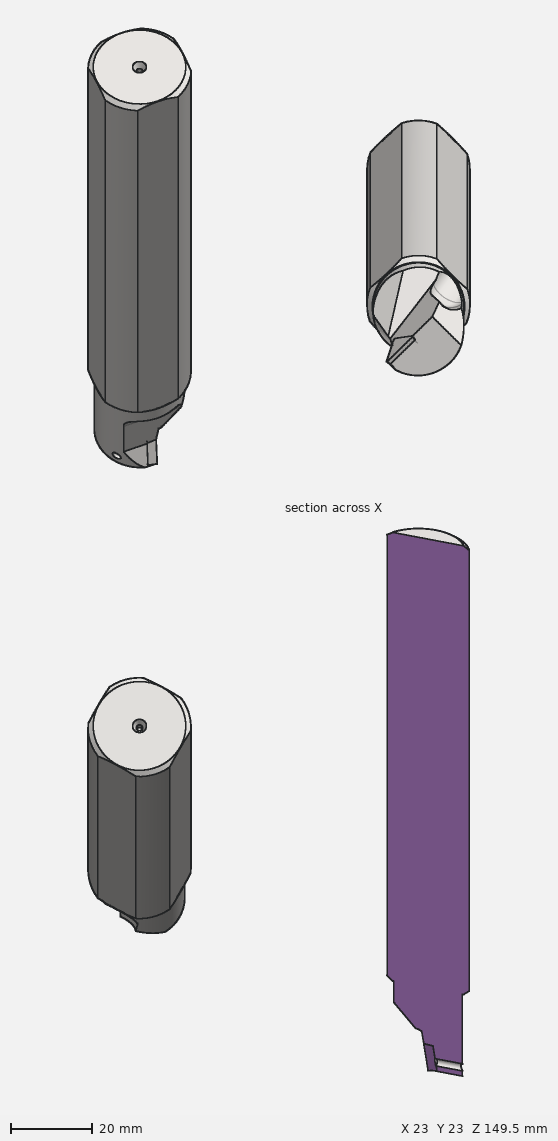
import cadquery as cq
import math

total_length = 149.45
neck_length = 23.6
shank_diameter = 25.4
across_flats = 23.0
end_face_radius = 11.4
top_chamfer_height = 1.0
bottom_chamfer_height = 1.3

centre_mouth_diameter = 3.4
centre_pilot_diameter = 1.5
centre_cone_angle = 60.0
centre_hole_depth = 4.0

head_radius = 11.2
tip_x = 11.2
bottom_angle = 4.5
insert_overhang = 0.25
end_slope_top_z = 8.6
end_slope_x = -10.1
end_slope_angle = 54.0

relief_x = 8.1
relief_top_z = 19.4
relief_radius = 3.0

rake_angle = 9.0
front_runout = (8.0, 0.0, 1.06)
side_runout = (13.6, -0.47, 0.3)

gullet_radius = 5.1
gullet_centre = cq.Vector(-10.9, 0, 14.7)
gullet_entry_angle = 48.0
gullet_exit_angle = 14.5

insert_incircle = 5.56
insert_thickness = 2.38
insert_nose_radius = 0.4
insert_clearance = 7.0
insert_corner_angle = 60.0
screw_hole_diameter = 1.9

reach = 60.0
outer = head_radius + 1.0

lead_angle = bottom_angle + insert_corner_angle
tip_bisector_angle = bottom_angle + insert_corner_angle / 2

rake_sin = math.sin(math.radians(rake_angle))
rake_cos = math.cos(math.radians(rake_angle))
half_corner_sin = math.sin(math.radians(tip_bisector_angle))
sharp_corner_z = -(2 * half_corner_sin - 1) * insert_nose_radius * rake_cos
rake_plane = cq.Plane(
    origin=(tip_x, 0, sharp_corner_z), xDir=(1, 0, 0), normal=(0, -rake_cos, rake_sin)
)
insert_circumradius = insert_incircle
insert_side = insert_incircle * math.sqrt(3)


def polar(length, degrees):
    """Offset of the given length at an angle from the first axis."""
    angle = math.radians(degrees)
    return length * math.cos(angle), length * math.sin(angle)


def make_shank():
    shank_radius = shank_diameter / 2
    profile = [
        (0, neck_length),
        (end_face_radius, neck_length),
        (shank_radius, neck_length + bottom_chamfer_height),
        (shank_radius, total_length - top_chamfer_height),
        (end_face_radius, total_length),
        (0, total_length),
    ]
    bar = cq.Workplane("XZ").polyline(profile).close().revolve(360, (0, 0), (0, 1))
    square = cq.Workplane("XY").rect(across_flats, across_flats).extrude(total_length)
    return bar.intersect(square).faces(">Z").workplane().cskHole(
        centre_pilot_diameter, centre_mouth_diameter, centre_cone_angle, centre_hole_depth
    )


def make_head_outline():
    """Head silhouette in XZ, extruded through the full width along Y."""
    bottom_slope = math.tan(math.radians(bottom_angle))
    end_slope = math.tan(math.radians(end_slope_angle))
    lead_slope = math.tan(math.radians(lead_angle))
    edge_x = tip_x - 2 * insert_overhang * math.cos(math.radians(tip_bisector_angle))
    edge_z = 2 * insert_overhang * math.sin(math.radians(tip_bisector_angle))
    line_z = end_slope_top_z - edge_z - bottom_slope * (edge_x - end_slope_x)
    corner_x = end_slope_x + line_z / (end_slope - bottom_slope)
    corner_z = edge_z + bottom_slope * (edge_x - corner_x)
    left_z = end_slope_top_z + end_slope * (end_slope_x + outer)
    arc_x = relief_x + relief_radius
    arc_z = relief_top_z - relief_radius
    mid_x, mid_z = polar(relief_radius, 135)
    return (
        cq.Workplane("XZ")
        .moveTo(-outer, left_z)
        .lineTo(corner_x, corner_z)
        .lineTo(edge_x, edge_z)
        .lineTo(relief_x, edge_z + lead_slope * (edge_x - relief_x))
        .lineTo(relief_x, arc_z)
        .threePointArc((arc_x + mid_x, arc_z + mid_z), (arc_x, relief_top_z))
        .lineTo(outer, relief_top_z)
        .lineTo(outer, neck_length)
        .lineTo(-outer, neck_length)
        .close()
        .extrude(outer, both=True)
    )


def make_chip_space():
    """Everything in front of the rake plane and under either run-out plane."""
    before_rake = cq.Workplane(rake_plane).rect(reach, reach).extrude(-reach)
    chip_space = cq.Workplane("XY")
    for height, rise_x, rise_y in [front_runout, side_runout]:
        runout_plane = cq.Plane(
            origin=(0, 0, height), xDir=(1, 0, rise_x), normal=(rise_x, rise_y, -1)
        )
        under_runout = cq.Workplane(runout_plane).rect(reach, reach).extrude(reach)
        chip_space = chip_space.add(before_rake.intersect(under_runout))
    return chip_space.combine()


def make_gullet():
    """Path of a ball cutter: in from the -X side, then down and slightly out."""
    entry_x, entry_z = polar(1, 180 - gullet_entry_angle)
    exit_x, exit_z = polar(1, 270 - gullet_exit_angle)
    gullet = cq.Workplane("XY").sphere(gullet_radius).translate(gullet_centre)
    for direction in [(entry_x, 0, entry_z), (exit_x, 0, exit_z)]:
        start = cq.Plane(origin=gullet_centre.toTuple(), xDir=(0, 1, 0), normal=direction)
        gullet = gullet.union(cq.Workplane(start).circle(gullet_radius).extrude(reach / 2))
    return gullet


def make_insert():
    corners = [
        (0, 0),
        polar(insert_side, 180 - bottom_angle),
        polar(insert_side, 180 - lead_angle),
    ]
    outline = cq.Sketch().polygon(corners + corners[:1]).vertices().fillet(insert_nose_radius)
    return cq.Workplane(rake_plane).placeSketch(outline).extrude(
        insert_thickness, taper=insert_clearance
    )


def make_screw_hole():
    """Runs from the insert centre straight back to the -Y side."""
    offset_x, offset_z = polar(insert_circumradius, 180 - tip_bisector_angle)
    return (
        cq.Workplane("XZ").center(tip_x + offset_x, offset_z)
        .circle(screw_hole_diameter / 2).extrude(reach)
    )


insert = make_insert()
head = cq.Workplane("XY").circle(head_radius).extrude(neck_length).intersect(make_head_outline())
head = head.cut(make_chip_space()).cut(make_gullet())
holder = make_shank().union(head).cut(make_screw_hole()).cut(insert)

result = cq.Compound.makeCompound([holder.val(), insert.val()])